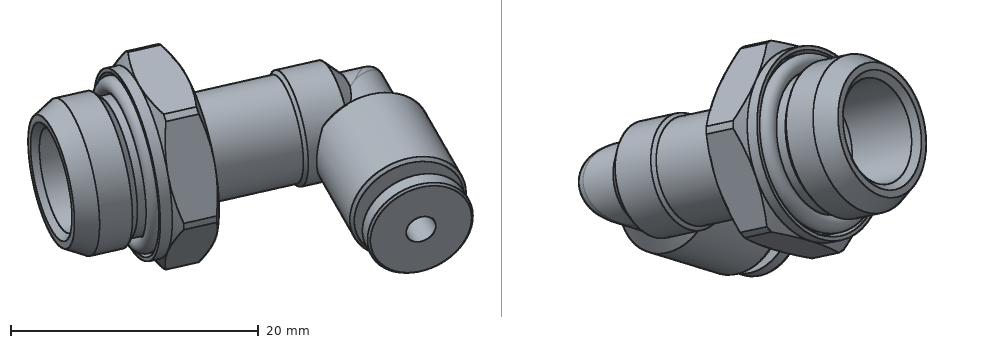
import cadquery as cq
import math


overall_length = 31.0

thread_radius = 6.55
tip_radius = 5.55
tip_chamfer_length = 1.8
thread_end_y = 4.62
neck_radius = 5.9
neck_start_y = thread_end_y + thread_radius - neck_radius

hex_half_flats = 8.0
hex_width_across_corners = 2 * hex_half_flats / math.cos(math.radians(30))
hex_corner_radius = 9.05
hex_chamfer_angle = 30.0
hex_chamfer_length = (hex_corner_radius - hex_half_flats) * math.tan(math.radians(hex_chamfer_angle))
flange_radius = hex_half_flats
flange_face_y = 6.48
hex_start_y = 7.5
hex_end_y = 11.53

ring_section_radius = 0.75
ring_center_radius = neck_radius + ring_section_radius
ring_protrusion = 0.68
ring_center_y = flange_face_y - ring_protrusion + ring_section_radius
recess_floor_y = ring_center_y + ring_section_radius
recess_rim_radius = 7.65
recess_floor_radius = ring_center_radius + ring_section_radius

stem_radius = 4.53
collar_radius = 4.85
collar_start_y = 20.0
collar_chamfer = collar_radius - stem_radius
collar_cone_y = 24.05

branch_axis_y = 26.0
elbow_radius = 3.5
elbow_corner_fillet = 0.93
collar_end_y = collar_cone_y + collar_radius - elbow_radius
branch_radius = overall_length - branch_axis_y
branch_cone_x = 2.48
branch_start_x = branch_cone_x + branch_radius - elbow_radius
branch_end_x = 13.02
branch_chamfer = 0.28

release_neck_radius = 2.55
release_radius = 4.53
release_start_x = 14.45
release_end_x = 15.85
release_chamfer = 0.2
release_root_chamfer = 0.12

bore_radius = 4.37
mouth_radius = 4.93
bore_depth = 6.82
middle_bore_radius = 3.0
middle_bore_end_y = 18.6
passage_radius = 1.27
cone_half_angle = 60.0


def turned_about_y(outline):
    """Turn a (radius, y) outline about the stem axis."""
    return cq.Workplane("XY").polyline(outline).close().revolve(360, (0, 0), (0, 1))


def turned_about_branch(outline):
    """Turn an (x, radius) outline about the branch axis."""
    return (
        cq.Workplane("XY", origin=(0, branch_axis_y, 0))
        .polyline(outline)
        .close()
        .revolve(360, (0, 0), (1, 0))
    )


def make_threaded_stem():
    """Thread, neck, recessed flange, stem and elbow collar as one turned shape."""
    return turned_about_y([
        (0, 0),
        (tip_radius, 0),
        (thread_radius, tip_chamfer_length),
        (thread_radius, thread_end_y),
        (neck_radius, neck_start_y),
        (neck_radius, recess_floor_y),
        (recess_floor_radius, recess_floor_y),
        (recess_rim_radius, flange_face_y),
        (flange_radius, flange_face_y),
        (flange_radius, hex_end_y),
        (stem_radius, hex_end_y),
        (stem_radius, collar_start_y),
        (collar_radius, collar_start_y + collar_chamfer),
        (collar_radius, collar_cone_y),
        (elbow_radius, collar_end_y),
        (0, collar_end_y),
    ])


def make_hexagon():
    """Hexagon with flats facing +Z and -Z, turned and chamfered at its corners."""
    prism = (
        cq.Workplane("XZ", origin=(0, hex_start_y, 0))
        .polygon(6, hex_width_across_corners)
        .extrude(hex_start_y - hex_end_y)
    )
    envelope = turned_about_y([
        (stem_radius, hex_start_y),
        (hex_half_flats, hex_start_y),
        (hex_corner_radius, hex_start_y + hex_chamfer_length),
        (hex_corner_radius, hex_end_y - hex_chamfer_length),
        (hex_half_flats, hex_end_y),
        (stem_radius, hex_end_y),
    ])
    return prism.intersect(envelope)


def elbow_arm(plane, length, both=False):
    """Round elbow arm that starts at the crossing of the stem and branch axes."""
    return (
        cq.Workplane(plane, origin=(0, branch_axis_y, 0))
        .circle(elbow_radius)
        .extrude(length, both=both)
    )


def make_elbow():
    """Mitred round bend: two arms that end in their common corner, whose outer edge is rounded."""
    corner_reach = 2 * elbow_radius
    outer_edge_box = cq.selectors.BoxSelector(
        (-elbow_radius, branch_axis_y, -elbow_radius),
        (0, branch_axis_y + elbow_radius, elbow_radius),
    )
    corner = (
        elbow_arm("XZ", corner_reach, both=True)
        .intersect(elbow_arm("YZ", corner_reach, both=True))
        .edges(outer_edge_box)
        .fillet(elbow_corner_fillet)
    )
    stem_arm = elbow_arm("XZ", branch_axis_y - collar_cone_y)
    branch_arm = elbow_arm("YZ", branch_start_x)
    return corner.union(stem_arm).union(branch_arm)


def make_branch():
    """Socket housing and release collar as one turned shape."""
    return turned_about_branch([
        (branch_cone_x, 0),
        (branch_cone_x, elbow_radius),
        (branch_start_x, branch_radius),
        (branch_end_x - branch_chamfer, branch_radius),
        (branch_end_x, branch_radius - branch_chamfer),
        (branch_end_x, release_neck_radius),
        (release_start_x - release_root_chamfer, release_neck_radius),
        (release_start_x, release_neck_radius + release_root_chamfer),
        (release_start_x, release_radius),
        (release_end_x - release_chamfer, release_radius),
        (release_end_x, release_radius - release_chamfer),
        (release_end_x, 0),
    ])


def cone_length(wide_radius, narrow_radius):
    """Axial length of a passage cone between two radii."""
    return (wide_radius - narrow_radius) / math.tan(math.radians(cone_half_angle))


def make_stem_passage():
    """Bore from the threaded tip, narrowing in two cones on its way to the branch."""
    return turned_about_y([
        (0, 0),
        (mouth_radius, 0),
        (bore_radius, mouth_radius - bore_radius),
        (bore_radius, bore_depth),
        (middle_bore_radius, bore_depth + cone_length(bore_radius, middle_bore_radius)),
        (middle_bore_radius, middle_bore_end_y),
        (passage_radius, middle_bore_end_y + cone_length(middle_bore_radius, passage_radius)),
        (passage_radius, branch_axis_y),
        (0, branch_axis_y),
    ])


def make_branch_passage():
    """Cross bore from the far wall of the stem passage out through the release collar."""
    return turned_about_branch([
        (-passage_radius, 0),
        (-passage_radius, passage_radius),
        (release_end_x, passage_radius),
        (release_end_x, 0),
    ])


def make_fitting():
    """Threaded stem, hexagon, elbow and branch as one solid with its flow passage."""
    solid = make_threaded_stem().union(make_hexagon()).union(make_elbow()).union(make_branch())
    return solid.cut(make_stem_passage()).cut(make_branch_passage())


def make_o_ring():
    """Seal between the neck and the recess in the flange."""
    return (
        cq.Workplane("XY")
        .center(ring_center_radius, ring_center_y)
        .circle(ring_section_radius)
        .revolve(360, (-ring_center_radius, 0), (-ring_center_radius, 1))
    )


fitting = make_fitting()
o_ring = make_o_ring()
result = cq.Compound.makeCompound([fitting.val(), o_ring.val()])